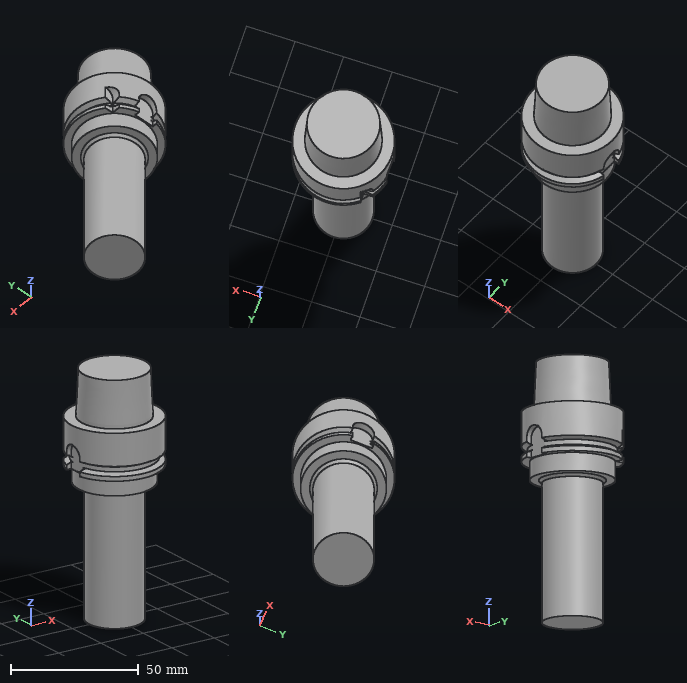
import cadquery as cq
import math


taper_height = 20.0
taper_top_radius = 14.3
taper_base_radius = 30.25 / 2
collar_height = 1.6

flange_radius = 40.0 / 2
flange_height = 20.0
groove_floor_radius = 17.65
groove_floor_width = 2.0
groove_center_z = -15.95
groove_flank_angle = 25.0

pilot_radius = 33.6 / 2
pilot_height = 7.3
shank_radius = 24.0 / 2
relief_height = 1.2
relief_top_radius = shank_radius + relief_height
total_length = 104.5

slot_length = 11.9

slot_width = 9.2
slot_floor_x = 17.25

notch_floor_x = 12.25
notch_wall_y = 12.0
notch_radius = 3.7


def make_body():
    """Revolve the half outline of the taper, flange, pilot and shank about Z."""
    flange_bottom_z = -flange_height
    pilot_bottom_z = flange_bottom_z - pilot_height
    shank_bottom_z = taper_height - total_length
    flank_height = (flange_radius - groove_floor_radius) * math.tan(math.radians(groove_flank_angle))
    floor_top_z = groove_center_z + groove_floor_width / 2
    floor_bottom_z = groove_center_z - groove_floor_width / 2
    outline = [
        (0, taper_height),
        (taper_top_radius, taper_height),
        (taper_base_radius, collar_height),
        (taper_base_radius, 0),
        (flange_radius, 0),
        (flange_radius, floor_top_z + flank_height),
        (groove_floor_radius, floor_top_z),
        (groove_floor_radius, floor_bottom_z),
        (flange_radius, floor_bottom_z - flank_height),
        (flange_radius, flange_bottom_z),
        (pilot_radius, flange_bottom_z),
        (pilot_radius, pilot_bottom_z),
        (relief_top_radius, pilot_bottom_z),
        (shank_radius, pilot_bottom_z - relief_height),
        (shank_radius, shank_bottom_z),
        (0, shank_bottom_z),
    ]
    return cq.Workplane("XZ").polyline(outline).close().revolve(360, (0, 0), (0, 1))


def make_round_top_cutter(center_y, width, floor_x):
    """Round-topped slot tool, open at the flange bottom, from X = floor_x to the flange rim."""
    radius = width / 2
    bottom_z = -flange_height
    shoulder_z = bottom_z + slot_length - radius
    return (
        cq.Workplane("YZ", origin=(floor_x, 0, 0))
        .moveTo(center_y - radius, bottom_z)
        .lineTo(center_y - radius, shoulder_z)
        .threePointArc((center_y, shoulder_z + radius), (center_y + radius, shoulder_z))
        .lineTo(center_y + radius, bottom_z)
        .close()
        .extrude(flange_radius - floor_x)
    )


def cut_drive_slots(body):
    """Cut the two opposite drive slots."""
    slot = make_round_top_cutter(0, slot_width, slot_floor_x)
    return body.cut(slot).cut(slot.mirror("YZ"))


def cut_orientation_notch(body):
    """Cut the single off-center notch, whose floor faces -X."""
    notch = make_round_top_cutter(notch_wall_y + notch_radius, 2 * notch_radius, notch_floor_x)
    return body.cut(notch.mirror("YZ"))


result = cut_orientation_notch(cut_drive_slots(make_body()))